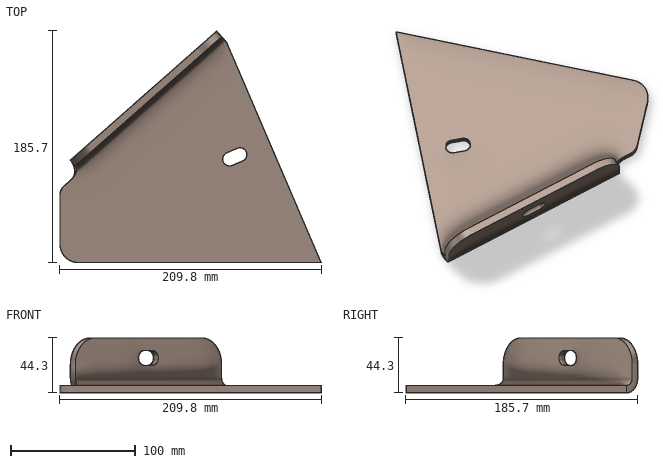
import cadquery as cq
import math

thickness = 6.0
plate_length = 209.8
left_edge_height = 58.7
front_corner_radius = 15.0
bend_corner_radius = 10.0

bend_angle = 41.4
inside_bend_radius = 6.0
flange_start = 21.8
flange_end = 178.5
flange_height = 44.3
flange_corner_radius = 21.5
relief_radius = 10.0

plate_slot_length = 20.0
plate_slot_width = 11.0
plate_slot_x = 140.4
plate_slot_y = 85.0
flange_slot_length = 21.0
flange_slot_width = 11.7
flange_slot_z = 28.1

outside_bend_radius = inside_bend_radius + thickness
middle_bend_radius = inside_bend_radius + thickness / 2
flange_length = flange_end - flange_start
flange_middle = (flange_start + flange_end) / 2
bend_end_x = flange_end * math.cos(math.radians(bend_angle))
bend_end_y = left_edge_height + flange_end * math.sin(math.radians(bend_angle))
slanted_edge_angle = math.degrees(math.atan2(bend_end_y, bend_end_x - plate_length))


def make_plate():
    """Flat base with two rounded left corners and a slot square to the slanted edge."""
    plate = (
        cq.Workplane("XY")
        .polyline([(0, 0), (plate_length, 0), (bend_end_x, bend_end_y), (0, left_edge_height)])
        .close()
        .extrude(thickness)
    )
    plate = plate.edges(cq.NearestToPointSelector((0, 0, thickness / 2))).fillet(front_corner_radius)
    plate = plate.edges(
        cq.NearestToPointSelector((0, left_edge_height, thickness / 2))
    ).fillet(bend_corner_radius)
    slot = (
        cq.Workplane("XY")
        .center(plate_slot_x, plate_slot_y)
        .slot2D(plate_slot_length, plate_slot_width, slanted_edge_angle - 90)
        .extrude(thickness)
    )
    return plate.cut(slot)


def make_bend(start, length, sweep):
    """Curved strip that rises from the plate through the given sweep in degrees."""
    return (
        cq.Workplane("XZ")
        .moveTo(start, 0)
        .rect(length, thickness, centered=False)
        .revolve(sweep, (0, outside_bend_radius, 0), (1, outside_bend_radius, 0))
    )


def make_upright():
    """Vertical wall with rounded top corners and a central slot."""
    upright = (
        cq.Workplane("XY")
        .box(flange_length, thickness, flange_height - outside_bend_radius, centered=False)
        .translate((flange_start, inside_bend_radius, outside_bend_radius))
        .faces(">Z")
        .edges("|Y")
        .fillet(flange_corner_radius)
    )
    slot = (
        cq.Workplane("XZ", origin=(flange_middle, 0, flange_slot_z))
        .slot2D(flange_slot_length, flange_slot_width)
        .extrude(-outside_bend_radius)
    )
    return upright.cut(slot)


def make_relief_web():
    """Concave corner where the flange's left end runs out along the bend into the plate edge."""
    sweep = math.degrees(relief_radius / middle_bend_radius)
    half_sweep = math.radians(sweep / 2)
    start = flange_start - relief_radius
    web = make_bend(start, relief_radius, sweep)
    radial_plane = cq.Plane(
        origin=(start, 0, outside_bend_radius),
        xDir=(1, 0, 0),
        normal=(0, math.sin(half_sweep), -math.cos(half_sweep)),
    )
    near = inside_bend_radius / 2
    far = 1.5 * outside_bend_radius
    half_width = math.tan(half_sweep)
    cutter = (
        cq.Workplane(radial_plane)
        .workplane(offset=near)
        .center(0, -near * half_width)
        .ellipse(relief_radius, 2 * near * half_width)
        .workplane(offset=far - near)
        .center(0, -(far - near) * half_width)
        .ellipse(relief_radius, 2 * far * half_width)
        .loft(ruled=True)
    )
    return web.cut(cutter)


flange = make_bend(flange_start, flange_length, 90).union(make_upright()).union(make_relief_web())
flange = flange.rotate((0, 0, 0), (0, 0, 1), bend_angle).translate((0, left_edge_height, 0))
result = make_plate().union(flange)